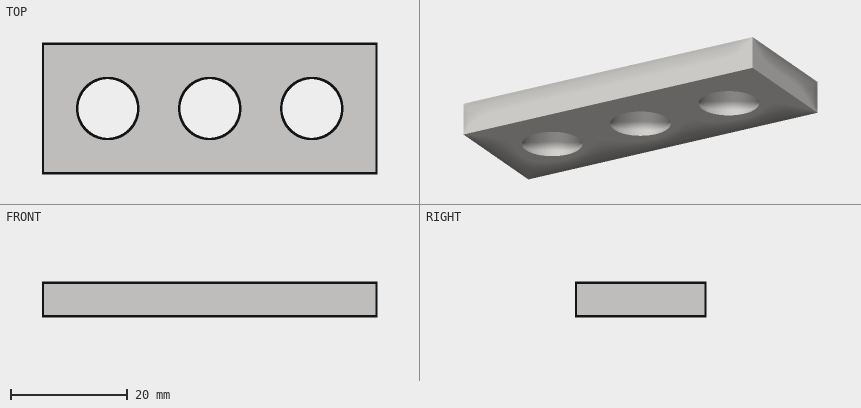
import cadquery as cq

plate_length = 57.15
plate_width = 22.23
plate_thickness = 5.75

hole_diameter = 10.41
hole_count = 3
hole_spacing = 17.46


def make_plate():
    """Flat rectangular plate centred on the origin in X and Y, with its base at Z = 0."""
    return cq.Workplane("XY").box(
        plate_length, plate_width, plate_thickness, centered=(True, True, False)
    )


def drill_hole_row(plate):
    """Drill the evenly spaced through holes, centred on the plate."""
    return (
        plate.faces(">Z")
        .workplane(centerOption="CenterOfBoundBox")
        .rarray(hole_spacing, plate_width, hole_count, 1)
        .hole(hole_diameter)
    )


result = drill_hole_row(make_plate())